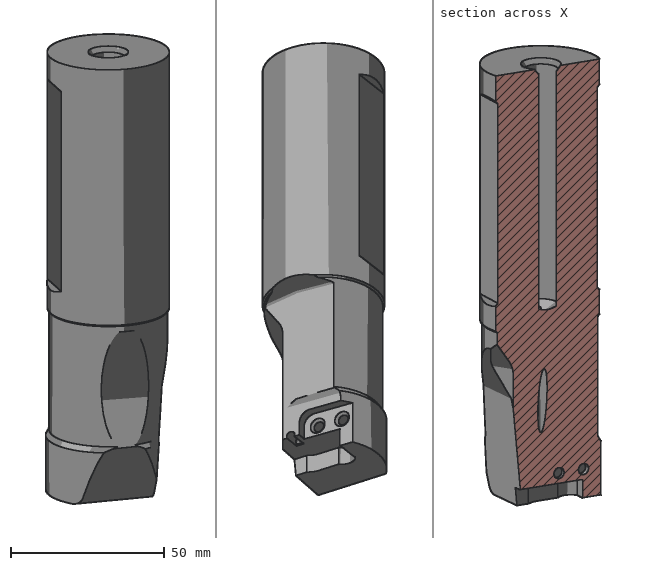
import cadquery as cq
import math

length = 149.0
shank_radius = 20.0
shank_bottom = 61.8
neck_radius = 19.4
neck_top = 61.2
neck_bottom = 20.3
head_radius = shank_radius
head_x = 0.3
head_y = -0.6
head_top = 18.5

clamp_half_width = 7.5
clamp_bottom = 71.2
clamp_top = 139.3

bore_radius = 5.5
bore_mouth_radius = 6.5
bore_chamfer_depth = 1.8
bore_depth = 82.0
drill_point_angle = 118.0
coolant_radius = 1.5
side_drill_top = (1.3, 0.3, 67.0)
side_drill_bottom = (5.4, 1.5, 50.7)

ridge_x = -14.9
ridge_y = 1.0
rear_flat_angle = 5.3
front_flat_angle = 2.6
flat_slope_bottom = 59.7
flat_slope_top = 62.9
flat_slope_fillet = 0.9

seat_angle = 3.0
seat_x = -14.5
seat_y = 5.7
seat_hollow_bottom = 15.8
seat_hollow_top = 19.8
seat_hollow_depth = 0.7
pocket_x = -11.0
pocket_y = 0.5
pocket_top = 14.8
pocket_corner = 3.9

screw_places = (-4.6, -13.7)
screw_z = 9.8
screw_radius = 1.8
screw_mouth_radius = 2.7
screw_depth = 7.5
pin_y = 3.6
pin_z = 6.9
pin_radius = 1.5
pin_depth = 6.0

undercut_height = 6.3
undercut_x = -1.5
undercut_gullet_start = -6.1
undercut_gullet_end = -13.0

flute_angle = 32.4
flute_y = 6.5
flute_bend_z = 48.5
flute_bend_radius = 9.0
flute_slope = 0.7

relief_angle = 3.0
relief_y = 13.4
relief_bend_z = 37.7
relief_lower_slope = 0.095
relief_upper_slope = 0.35

hollow_x = 17.6
hollow_z = 39.5
taper_top_x = 19.2
taper_top_z = 19.7
taper_bottom_x = 14.8
taper_corner = 3.0

reach = 59.6
overrun = 1.5


def sideways_prism(points, angle, place):
    """Prism along a horizontal line turned from +X, from points given as (across, height)."""
    turn = math.radians(angle)
    along = (math.cos(turn), math.sin(turn), 0)
    across = (-math.sin(turn), math.cos(turn), 0)
    plane = cq.Plane(origin=place, xDir=across, normal=along)
    return cq.Workplane(plane).polyline(points).close().extrude(reach, both=True)


def half_space_block(place, angle):
    """Tall block lying on the -X side of a vertical face turned about Z at the given place."""
    block = cq.Workplane("XY").box(reach, 2 * reach, length).translate((-reach / 2, 0, length / 2))
    return block.rotate((0, 0, 0), (0, 0, 1), angle).translate(place)


def drill(start, end, radius):
    """Straight cylinder between two points."""
    start_point = cq.Vector(*start)
    path = cq.Vector(*end) - start_point
    return cq.Workplane(cq.Solid.makeCylinder(radius, path.Length, start_point, path))


def make_body():
    outline = [
        (0, neck_bottom),
        (neck_radius, neck_bottom),
        (neck_radius, neck_top),
        (shank_radius, shank_bottom),
        (shank_radius, length),
        (0, length),
    ]
    shaft = cq.Workplane("XZ").polyline(outline).close().revolve(360, (0, 0), (0, 1))
    head = cq.Workplane("XY").center(head_x, head_y).circle(head_radius).extrude(head_top)
    shoulder = (
        head.faces(">Z")
        .workplane(origin=(head_x, head_y, head_top))
        .circle(head_radius)
        .workplane(offset=neck_bottom - head_top)
        .center(-head_x, -head_y)
        .circle(neck_radius)
        .loft(combine=False)
    )
    return shaft.union(head).union(shoulder)


def cut_clamping_flats(body):
    flat_y = math.sqrt(shank_radius**2 - clamp_half_width**2)
    rise = shank_radius + overrun - flat_y
    outline = [
        (flat_y, clamp_bottom),
        (flat_y, clamp_top),
        (flat_y + rise, clamp_top + rise),
        (flat_y + rise, clamp_bottom - rise),
    ]
    groove = sideways_prism(outline, 0, (0, 0, 0))
    return body.cut(groove).cut(groove.mirror("XZ"))


def cut_neck_flats(body):
    """Flats that end upward in one sloping plane through the foot of the shank."""
    slope_rise = flat_slope_top - flat_slope_bottom
    slope_run = shank_radius + ridge_x
    outline = [
        (ridge_x - reach, -overrun),
        (overrun, -overrun),
        (overrun, flat_slope_bottom - slope_rise * (overrun - ridge_x) / slope_run),
        (ridge_x - reach, flat_slope_bottom + slope_rise * reach / slope_run),
    ]
    under_slope = cq.Workplane("XZ").polyline(outline).close().extrude(reach, both=True)
    above_head = cq.Workplane("XY").workplane(offset=head_top).rect(2 * reach, 2 * reach).extrude(reach)
    ridge = (ridge_x, ridge_y, 0)
    slope_foot = cq.selectors.NearestToPointSelector((ridge_x, ridge_y, flat_slope_bottom))
    cutters = []
    for angle in (front_flat_angle, -rear_flat_angle):
        cutter = half_space_block(ridge, angle).intersect(under_slope)
        cutters.append(cutter.edges(slope_foot).fillet(flat_slope_fillet))
    front, rear = cutters
    return body.cut(front.intersect(above_head)).cut(rear)


def cut_seat(body):
    """Flat seat with a hollow upper run-out, both turned about Z by the seat angle."""
    face = cq.Workplane("XZ").moveTo(-reach, -overrun).lineTo(0, -overrun).lineTo(0, seat_hollow_bottom)
    height = seat_hollow_top - seat_hollow_bottom
    hollow_radius = (height**2 + seat_hollow_depth**2) / (2 * seat_hollow_depth)
    face = face.radiusArc((-seat_hollow_depth, seat_hollow_top), -hollow_radius)
    face = face.lineTo(-reach, seat_hollow_top).close().extrude(reach, both=True)
    face = face.rotate((0, 0, 0), (0, 0, 1), seat_angle).translate((seat_x, seat_y, 0))
    return body.cut(face)


def cut_pocket(body):
    pocket = (
        cq.Workplane("XY")
        .box(reach, reach, pocket_top + reach, centered=False)
        .edges("|X and >Y and >Z")
        .fillet(pocket_corner)
        .translate((-reach, -reach, -reach))
        .rotate((0, 0, 0), (0, 0, 1), seat_angle)
        .translate((pocket_x, pocket_y, 0))
    )
    return body.cut(pocket)


def cut_screw_holes(body):
    sink = screw_mouth_radius - screw_radius
    outline = [
        (0, -overrun),
        (screw_mouth_radius, -overrun),
        (screw_mouth_radius, 0),
        (screw_radius, sink),
        (screw_radius, screw_depth),
        (0, screw_depth),
    ]
    slope = math.tan(math.radians(seat_angle))
    for y in screw_places:
        floor_x = pocket_x + (pocket_y - y) * slope
        hole = cq.Workplane("XY").polyline(outline).close().revolve(360, (0, 0), (0, 1))
        hole = hole.rotate((0, 0, 0), (0, 0, 1), seat_angle - 90).translate((floor_x, y, screw_z))
        body = body.cut(hole)
    return body


def cut_undercut(body):
    """Wavy wall under the seat, ending in a round gullet beside the front column."""
    step_y = 5.5
    bump_start = 4.6
    bump_end = 1.0
    step_depth = 0.5
    bump_depth = 0.7
    bump_radius = 6.7
    gullet_radius = 4.5
    bump_x = undercut_x + step_depth
    land_x = bump_x + bump_depth
    gullet_width = undercut_gullet_start - undercut_gullet_end
    gullet_x = land_x - gullet_radius * (1 - math.sin(math.acos(gullet_width / gullet_radius - 1)))
    wall = (
        cq.Workplane("XY")
        .moveTo(-reach, reach)
        .lineTo(undercut_x, reach)
        .lineTo(undercut_x, step_y)
        .lineTo(bump_x, bump_start)
        .radiusArc((land_x, bump_end), bump_radius)
        .lineTo(land_x, undercut_gullet_start)
        .radiusArc((gullet_x, undercut_gullet_end), gullet_radius)
        .lineTo(-reach, undercut_gullet_end)
        .close()
        .extrude(undercut_height)
    )
    return body.cut(wall)


def cut_flute(body):
    """Turned flute wall whose upper run-out slope is measured along Y."""
    far = (reach, flute_bend_z + reach / flute_slope)
    outline = [(0, -overrun), (0, flute_bend_z), far, (reach, -overrun)]
    turn = math.radians(flute_angle)
    outline = [(across * math.cos(turn), height) for across, height in outline]
    flute = sideways_prism(outline, flute_angle, (seat_x, flute_y, 0))
    bend = cq.selectors.NearestToPointSelector((seat_x, flute_y, flute_bend_z))
    return body.cut(flute.edges(bend).fillet(flute_bend_radius))


def cut_relief(body):
    lower_y = -relief_lower_slope * (relief_bend_z + overrun)
    outline = [
        (lower_y, -overrun),
        (0, relief_bend_z),
        (reach, relief_bend_z + reach / relief_upper_slope),
        (reach, -overrun),
    ]
    return body.cut(sideways_prism(outline, relief_angle, (0, relief_y, 0)))


def cut_hollow_side(body):
    """Concave sweep along the neck, then a taper with a rounded foot on the head."""
    hollow_top = 2 * hollow_z - taper_top_z
    side = (
        cq.Workplane("XZ")
        .moveTo(taper_top_x, hollow_top)
        .threePointArc((hollow_x, hollow_z), (taper_top_x, taper_top_z))
        .lineTo(taper_bottom_x, 0)
        .lineTo(0, 0)
        .lineTo(0, -overrun)
        .lineTo(reach, -overrun)
        .lineTo(reach, hollow_top)
        .close()
        .extrude(reach, both=True)
    )
    foot = cq.selectors.NearestToPointSelector((taper_bottom_x, 0, 0))
    return body.cut(side.edges(foot).fillet(taper_corner))


def cut_bore_and_coolant(body):
    bore_floor = length - bore_depth
    point_depth = bore_radius / math.tan(math.radians(drill_point_angle / 2))
    point_z = bore_floor - point_depth
    outline = [
        (0, point_z),
        (bore_radius, bore_floor),
        (bore_radius, length - bore_chamfer_depth),
        (bore_mouth_radius, length),
        (0, length),
    ]
    bore = cq.Workplane("XZ").polyline(outline).close().revolve(360, (0, 0), (0, 1))
    pin_end = (seat_x + pin_depth, pin_y, pin_z)
    pin_hole = drill((seat_x - overrun, pin_y, pin_z), pin_end, pin_radius)
    main_drill = drill((0, 0, bore_floor), pin_end, coolant_radius)
    side_drill = drill(side_drill_top, side_drill_bottom, coolant_radius)
    return body.cut(bore).cut(pin_hole).cut(main_drill).cut(side_drill)


result = make_body()
result = cut_clamping_flats(result)
result = cut_neck_flats(result)
result = cut_seat(result)
result = cut_pocket(result)
result = cut_undercut(result)
result = cut_flute(result)
result = cut_relief(result)
result = cut_hollow_side(result)
result = cut_screw_holes(result)
result = cut_bore_and_coolant(result)